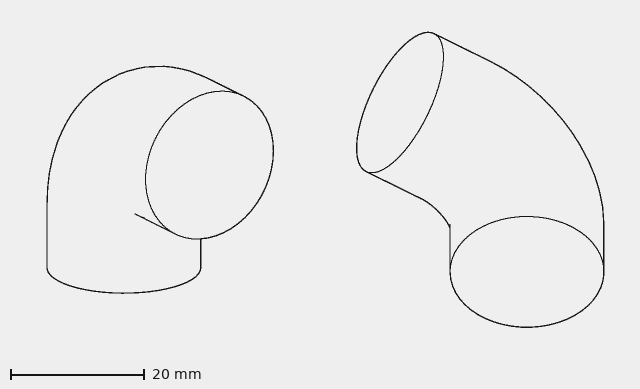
import cadquery as cq

overall_length = 34.5
outer_diameter = 23.0
straight_length = 10.0

outer_radius = outer_diameter / 2
bend_radius = overall_length - straight_length - outer_radius
bend_angle = 90

lower_end = cq.Workplane("XY").circle(outer_radius).extrude(straight_length)

bend = (
    lower_end.faces(">Z")
    .workplane()
    .circle(outer_radius)
    .revolve(bend_angle, (bend_radius, 0), (bend_radius, 1), combine=False)
)

upper_end = (
    cq.Workplane("YZ", origin=(bend_radius, 0, straight_length + bend_radius))
    .circle(outer_radius)
    .extrude(straight_length)
)

result = lower_end.union(bend).union(upper_end)